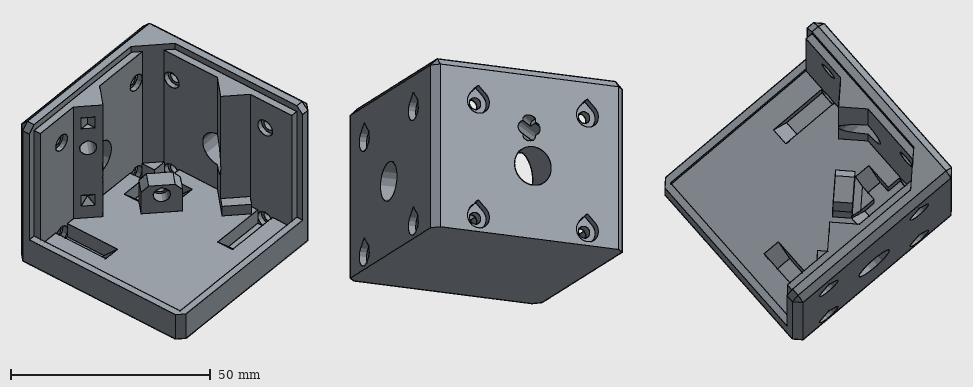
import cadquery as cq
import math

side = 52.75
height = 44.4
edge_chamfer = 1.9
outer_wall = 4.0
lined_wall = 6.0
rim_width = 1.9
rim_height = 8.0
floor_height = 6.0
corner_reach = 15.85
lining_top = height - rim_width

window_diameter = 10.0
window_offset = 27.35
window_height = 19.0
screw_spread = 15.0
screw_diameter = 3.05
head_diameter = 6.0
head_depth = 2.0
nut_diameter = 4.7
nut_depth = 1.5
slot_length = 16.1

rib_size = 5.3
rib_offset = 32.3
flank_length = rib_size * math.sqrt(2)

post_width = 10.5
post_depth = 4.9
post_top = 14.9
gusset_size = rim_height - floor_height
ledge_depth = 3.05
ledge_height = 3.1

bore_diameter = 4.25
bore_tip = 2.4
anchor_height = 6.7
anchor_width = 2.45
anchor_depth = 4.25
post_bore_depth = 3.1
post_bore_height = 11.7
rib_bore_height = 28.8
cone_height = post_bore_height
groove_height = 37.0
seat_size = 3.55

rib_y = side - rib_offset
face_x = (side + lined_wall + rib_size - rib_y) / 2
face_y = side - face_x
face_frame = cq.Plane(origin=(face_x, face_y, 0), xDir=(-1, -1, 0), normal=(-1, 1, 0))
section_frame = cq.Plane(origin=(face_x, face_y, 0), xDir=(-1, 1, 0), normal=(1, 1, 0))
flank_x = lined_wall + rib_size / 2
flank_along = (face_x - flank_x) * math.sqrt(2)
flank_to_outside = flank_x * math.sqrt(2)


def block(x_range, y_range, z_range):
    """Box between the given limits along each axis."""
    (x0, x1), (y0, y1), (z0, z1) = x_range, y_range, z_range
    return cq.Workplane("XY").box(x1 - x0, y1 - y0, z1 - z0, centered=False).translate((x0, y0, z0))


def face_block(along, up, depth):
    """Box between the given limits in the diagonal frame."""
    middle = (sum(along) / 2, sum(up) / 2)
    sketch = cq.Workplane(face_frame).workplane(offset=depth[0]).center(*middle)
    return sketch.rect(along[1] - along[0], up[1] - up[0]).extrude(depth[1] - depth[0])


def on_both_walls(feature):
    """The left wall's feature together with its mirror image on the back wall."""
    return feature.union(feature.mirror((1, 1, 0), (0, side, 0)))


def cavity(wall, floor, top, border):
    """Open space in front of both walls, with the inner corner cut off diagonally."""
    corner = corner_reach - wall
    outline = [
        (wall, border),
        (side - border, border),
        (side - border, side - wall),
        (corner, side - wall),
        (wall, side - corner),
    ]
    return cq.Workplane("XY").workplane(offset=floor).polyline(outline).close().extrude(top - floor)


def make_shell():
    shell = cq.Workplane("XY").box(side, side, height, centered=False)
    shell = shell.edges("|Z or >Z").chamfer(edge_chamfer)
    shell = shell.cut(cavity(lined_wall, floor_height, height, rim_width))
    shell = shell.cut(cavity(outer_wall, lining_top, height, 0))
    front_end = block((outer_wall, side), (0, rim_width), (rim_height, height))
    back_end = block((side - rim_width, side), (0, side - outer_wall), (rim_height, height))
    return shell.cut(front_end).cut(back_end)


def make_rib():
    outline = [
        (lined_wall, rib_y - rib_size),
        (lined_wall + rib_size, rib_y),
        (lined_wall, rib_y + rib_size),
    ]
    rib = cq.Workplane("XY").workplane(offset=floor_height).polyline(outline).close()
    return rib.extrude(lining_top - floor_height)


def make_post():
    half = post_width / 2
    post = face_block((-half, half), (floor_height, post_top), (0, post_depth))
    post = post.edges("|(-1,1,0) and >Z").chamfer(edge_chamfer)
    gusset_profile = [
        (post_depth, floor_height),
        (post_depth + gusset_size, floor_height),
        (post_depth, floor_height + gusset_size),
    ]
    gusset = cq.Workplane(section_frame).polyline(gusset_profile).close().extrude(half, both=True)
    return post.union(gusset)


def make_ledge():
    along = (-flank_along - flank_length / 2, -flank_along + flank_length / 2)
    return face_block(along, (floor_height, floor_height + ledge_height), (-ledge_depth, 0))


def teardrop(frame, radius, tip, depth):
    """Round hole with a pointed roof whose sides are tangent to the circle."""
    slope = math.acos(radius / tip)
    tangent = (radius * math.sin(slope), radius * math.cos(slope))
    sketch = cq.Workplane(frame).moveTo(0, tip).lineTo(*tangent)
    sketch = sketch.threePointArc((0, -radius), (-tangent[0], tangent[1])).close()
    return sketch.extrude(depth)


def make_screw_hole(along, level):
    """Screw hole through the left wall, with a head pocket outside and a nut pocket inside."""
    y = side - along
    outside = cq.Plane(origin=(0, y, level), xDir=(0, 1, 0), normal=(1, 0, 0))
    hole = cq.Workplane(outside).circle(screw_diameter / 2).extrude(lined_wall)
    radius = head_diameter / 2
    hole = hole.union(teardrop(outside, radius, radius * math.sqrt(2), head_depth))
    nut = cq.Workplane(outside).workplane(offset=lined_wall - nut_depth)
    return hole.union(nut.circle(nut_diameter / 2).extrude(nut_depth))


def make_access_slot(along, level):
    """Slot in the floor that leads to a low nut pocket, with a 45 degree ramp at its end."""
    bottom = level - nut_diameter / 2
    end = lined_wall + slot_length
    rise = rim_height - bottom
    ramp_foot = end - (floor_height - bottom)
    profile = [
        (lined_wall, bottom),
        (ramp_foot, bottom),
        (ramp_foot + rise, rim_height),
        (lined_wall, rim_height),
    ]
    sketch = cq.Workplane("XZ", origin=(0, side - along, 0)).polyline(profile).close()
    return sketch.extrude(nut_diameter / 2, both=True)


def make_wall_openings():
    window = cq.Workplane("YZ").center(side - window_offset, window_height)
    openings = window.circle(window_diameter / 2).extrude(lined_wall + rib_size)
    low = window_height - screw_spread
    for along in (window_offset - screw_spread, window_offset + screw_spread):
        for level in (low, window_height + screw_spread):
            openings = openings.union(make_screw_hole(along, level))
        openings = openings.union(make_access_slot(along, low))
    return openings


def frame_on_face(along, level, depth=0):
    """Diagonal frame moved to a spot on the mounting face, or to a depth below it."""
    return cq.Workplane(face_frame).center(along, level).workplane(offset=depth).plane


def make_post_bore():
    """Bore in the post with a smaller through hole at its bottom."""
    start = frame_on_face(0, post_bore_height)
    bore = teardrop(start, bore_diameter / 2, bore_tip, post_bore_depth)
    return bore.union(cq.Workplane(start).circle(screw_diameter / 2).extrude(post_depth))


def make_rib_bore():
    """Bore from the left rib out through the wall, where an upright slot crosses it."""
    radius = bore_diameter / 2
    anchor_start = flank_to_outside - anchor_depth
    front = teardrop(frame_on_face(flank_along, rib_bore_height), radius, bore_tip, anchor_start)
    back = cq.Workplane(frame_on_face(flank_along, rib_bore_height, anchor_start))
    back_length = 2 * anchor_depth
    anchor = back.circle(radius).extrude(back_length)
    anchor = anchor.union(back.slot2D(anchor_height, anchor_width, 90).extrude(back_length))
    return front.union(anchor)


def make_cone_seat(along, level):
    """Square pyramid sunk into the mounting face with 45 degree sides."""
    half = seat_size / 2
    level_groove = cq.Workplane(section_frame).workplane(offset=-along)
    outline = [(0, level - half), (0, level + half), (half, level)]
    level_groove = level_groove.polyline(outline).close().extrude(half, both=True)
    return level_groove.intersect(make_groove_seat(along, level))


def make_groove_seat(along, level):
    """Upright V groove sunk into the mounting face with 45 degree sides."""
    half = seat_size / 2
    bottom = cq.Plane(origin=(face_x, face_y, level - half), xDir=(-1, -1, 0), normal=(0, 0, 1))
    outline = [(along - half, 0), (along + half, 0), (along, -half)]
    return cq.Workplane(bottom).polyline(outline).close().extrude(seat_size)


result = make_shell()
result = result.union(on_both_walls(make_rib()))
result = result.union(make_post()).union(make_ledge())
result = result.cut(on_both_walls(make_wall_openings()))
result = result.cut(make_post_bore())
result = result.cut(make_rib_bore())
result = result.cut(make_cone_seat(flank_along, cone_height))
result = result.cut(make_groove_seat(flank_along, groove_height))